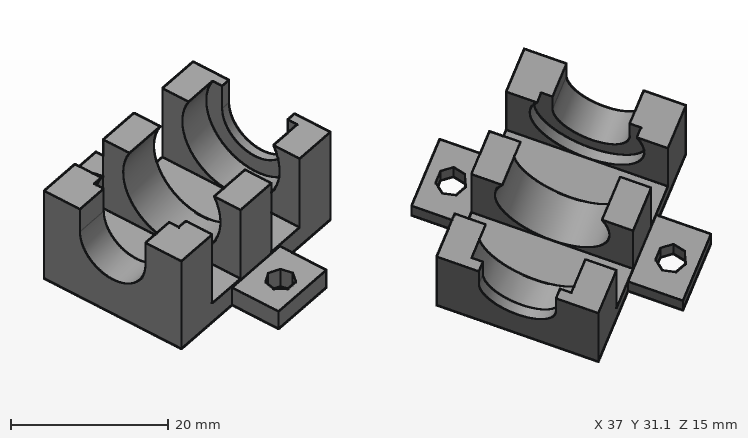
import cadquery as cq
import math

block_width = 22.05
block_depth = 31.1
block_height = 15.0
floor_height = 3.25
wall_depth = 6.45
gap_depth = (block_depth - 3 * wall_depth) / 2

axis_height = 11.15
seat_radius = 7.8
mouth_radius = 5.25
front_lip = 4.95
back_lip = 1.45
seat_length = block_depth - front_lip - back_lip

tab_span = 37.0
tab_depth = 10.0
tab_height = 3.0
hole_sides = 7
hole_corner_radius = 2.0
hole_offset = 15.0

front_face = -block_depth / 2


def slab(width, depth, height):
    """Box centred on X and Y, standing on Z = 0."""
    return cq.Workplane("XY").box(width, depth, height, centered=(True, True, False))


def cross_gap(y_center):
    """Space between two neighbouring walls, above the floor."""
    gap = slab(block_width, gap_depth, block_height - floor_height)
    return gap.translate((0, y_center, floor_height))


def bearing_seat():
    """Round seat between the end lips, narrowing again towards the open top."""
    start = front_face + front_lip
    return (
        cq.Workplane("XZ", origin=(0, start, axis_height))
        .circle(seat_radius)
        .extrude(-seat_length)
    )


def mouth_channel():
    """U-shaped channel through the full depth, passing both end lips."""
    rise = block_height - axis_height
    return (
        cq.Workplane("XZ", origin=(0, front_face, axis_height))
        .moveTo(-mouth_radius, rise)
        .lineTo(-mouth_radius, 0)
        .threePointArc((0, -mouth_radius), (mouth_radius, 0))
        .lineTo(mouth_radius, rise)
        .close()
        .extrude(-block_depth)
    )


def screw_hole(x_center):
    """Seven-sided hole with one corner pointing towards -X."""
    corners = []
    for i in range(hole_sides):
        angle = math.pi + 2 * math.pi * i / hole_sides
        x = x_center + hole_corner_radius * math.cos(angle)
        y = hole_corner_radius * math.sin(angle)
        corners.append((x, y))
    return cq.Workplane("XY").polyline(corners).close().extrude(tab_height)


body = slab(block_width, block_depth, block_height)
for side in (-1, 1):
    body = body.cut(cross_gap(side * (wall_depth + gap_depth) / 2))
body = body.cut(bearing_seat()).cut(mouth_channel())

body = body.union(slab(tab_span, tab_depth, tab_height))
for side in (-1, 1):
    body = body.cut(screw_hole(side * hole_offset))

result = body